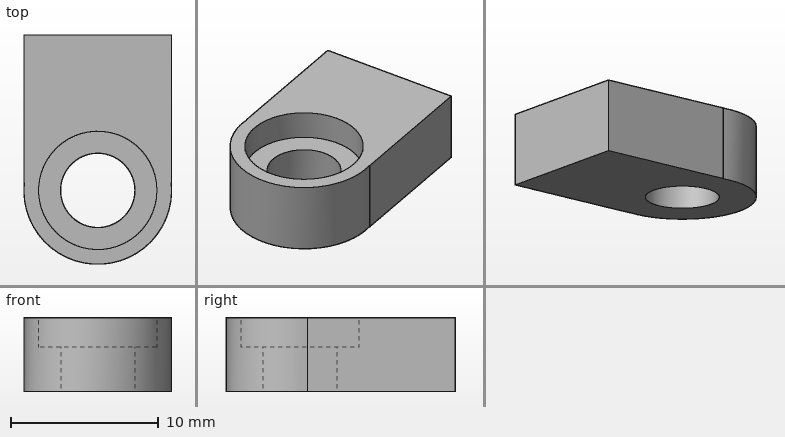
import cadquery as cq

total_length = 15.5
width = 10.0
height = 5.0
block_length = 10.0
hole_diameter = 5.0
counterbore_diameter = 8.0
counterbore_depth = 2.0

eye_radius = width / 2
back_y = total_length - eye_radius
block_center_y = back_y - block_length / 2

block = (
    cq.Workplane("XY")
    .center(0, block_center_y)
    .rect(width, block_length)
    .extrude(height)
)

eye = cq.Workplane("XY").circle(eye_radius).extrude(height)

through_hole = cq.Workplane("XY").circle(hole_diameter / 2).extrude(height)
counterbore = (
    cq.Workplane("XY", origin=(0, 0, height - counterbore_depth))
    .circle(counterbore_diameter / 2)
    .extrude(counterbore_depth)
)

result = block.union(eye).cut(through_hole).cut(counterbore)